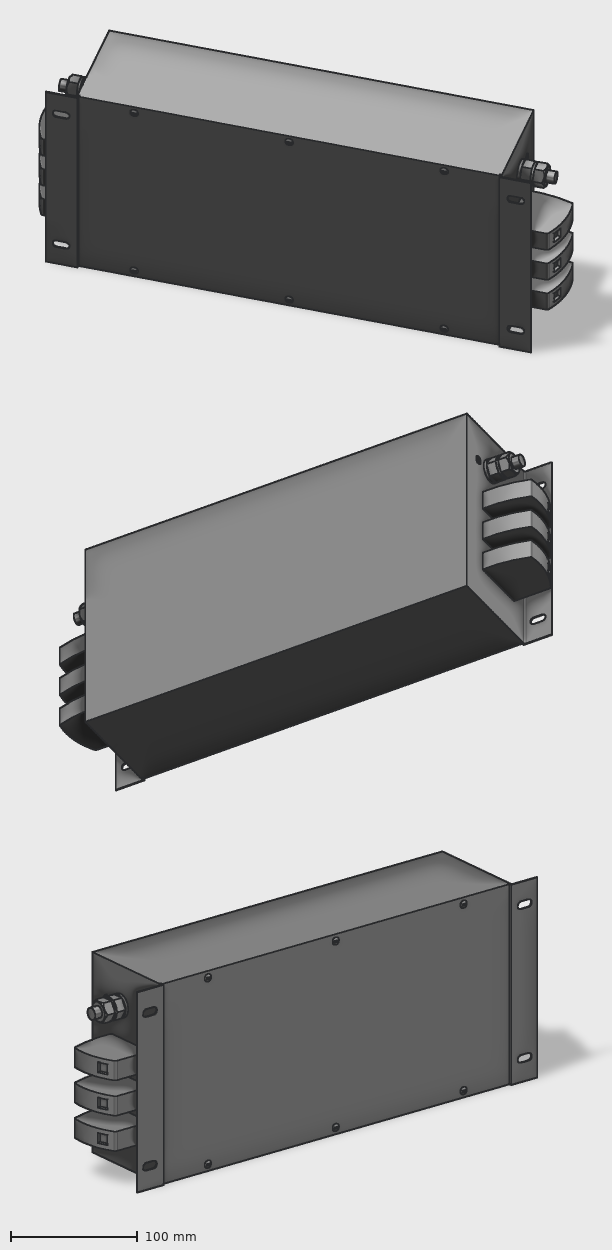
import cadquery as cq
import math

overall_length = 434.5
overall_depth = 90.0
overall_height = 170.0

box_length = 350.0
sheet = 1.1
cover_front = 2.0
cover_thickness = 1.7
cover_end_gap = 0.65

bend_radius = 1.5
flange_span = 400.0
slot_spacing_x = 374.5
slot_spacing_z = 130.5
slot_length = 14.0
slot_width = 6.5

screw_columns = 3
screw_rows = 2
screw_pitch_x = 127.8
screw_spacing_z = 158.0
screw_diameter = 6.5
screw_head = 1.5
screw_slot_width = 1.5
screw_slot_depth = 0.5

terminal_thickness = 16.5
terminal_count = 3
terminal_top_level = 15.0
terminal_pitch = 30.0
terminal_front = 17.0
terminal_back = 65.5
terminal_apex_y = 48.5
nose_radius = 61.5
back_radius = 107.0
back_crest_offset = 6.5
back_corner_y = 60.0
back_corner_radius = 1.0
front_corner_radius = 2.5
window_size = 8.5
window_y = 27.5
window_depth = 3.5

gland_y = 54.0
gland_z = 51.0
washer_diameter = 20.0
washer_length = 2.5
hex_sides = 6
hex_corners = 20.0
inner_hex_length = 8.3
collar_diameter = 19.0
collar_length = 2.0
outer_hex_length = 9.0
hex_chamfer = 1.7
stem_diameter = 10.0
stem_length = 7.0
earth_y = 71.5
earth_diameter = 7.0
earth_recess = 1.5
earth_hole_diameter = 3.5
earth_hole_depth = 4.5

box_end = box_length / 2
box_front = cover_front + cover_thickness


def block(x_range, y_range, z_range):
    """Axis-aligned block given by its limits along each axis."""
    sizes = [high - low for low, high in (x_range, y_range, z_range)]
    corner = (x_range[0], y_range[0], z_range[0])
    return cq.Workplane("XY").box(*sizes, centered=False).translate(corner)


def end_plane(x, y, z):
    """Sketch plane facing +X, with its local x along +Y and local y along +Z."""
    return cq.Workplane(cq.Plane(origin=(x, y, z), xDir=(0, 1, 0), normal=(1, 0, 0)))


def front_plane(y):
    """Sketch plane facing -Y, with its local axes along +X and +Z."""
    return cq.Workplane(cq.Plane(origin=(0, y, 0), xDir=(1, 0, 0), normal=(0, -1, 0)))


def enclosure():
    half_height = overall_height / 2
    body = block((-box_end, box_end), (box_front, overall_depth), (-half_height, half_height))
    cover_end = box_end - sheet - cover_end_gap
    cover = block((-cover_end, cover_end), (cover_front, box_front), (-half_height, half_height))
    return body.union(cover)


def flange():
    """Bent sheet at the +X end: a lip on the end wall turned outwards at the front."""
    z_range = (-overall_height / 2, overall_height / 2)
    lip = block((box_end - sheet, box_end), (0, box_front), z_range)
    plate = block((box_end - sheet, flange_span / 2), (0, sheet), z_range)
    slots = (
        front_plane(0)
        .rarray(slot_spacing_x, slot_spacing_z, 2, 2)
        .slot2D(slot_length, slot_width)
        .extrude(-sheet)
    )
    bent_sheet = (
        lip.union(plate)
        .edges(cq.selectors.NearestToPointSelector((box_end, sheet, 0)))
        .fillet(bend_radius)
    )
    return bent_sheet.cut(slots)


def cover_screws():
    """Domed, slotted screw heads in two rows along the cover."""
    dome_radius = ((screw_diameter / 2) ** 2 + screw_head**2) / (2 * screw_head)
    heads = (
        front_plane(cover_front - screw_head + dome_radius)
        .rarray(screw_pitch_x, screw_spacing_z, screw_columns, screw_rows)
        .sphere(dome_radius)
    )
    slots = (
        front_plane(cover_front - screw_head)
        .rarray(screw_pitch_x, screw_spacing_z, screw_columns, screw_rows)
        .rect(screw_diameter, screw_slot_width)
        .extrude(-screw_slot_depth)
    )
    return heads.cut(slots)


def nose_x(y):
    """X of the rounded terminal nose at a given Y."""
    return overall_length / 2 - nose_radius + math.sqrt(nose_radius**2 - (y - terminal_apex_y) ** 2)


def back_y(x):
    """Y of the arched terminal back at a given X."""
    crest_x = box_end + back_crest_offset
    return terminal_back - back_radius + math.sqrt(back_radius**2 - (x - crest_x) ** 2)


def terminal(level):
    """Terminal block at the +X end: arched back, rounded nose and a square window."""
    front_corner_x = nose_x(terminal_front)
    back_corner_x = nose_x(back_corner_y)
    arch_middle_x = (box_end + back_corner_x) / 2
    body = (
        cq.Workplane("XY")
        .moveTo(box_end, terminal_front)
        .lineTo(front_corner_x, terminal_front)
        .threePointArc((overall_length / 2, terminal_apex_y), (back_corner_x, back_corner_y))
        .threePointArc((arch_middle_x, back_y(arch_middle_x)), (box_end, back_y(box_end)))
        .close()
        .extrude(terminal_thickness / 2, both=True)
        .edges(cq.selectors.NearestToPointSelector((front_corner_x, terminal_front, 0)))
        .fillet(front_corner_radius)
        .edges(cq.selectors.NearestToPointSelector((back_corner_x, back_corner_y, 0)))
        .fillet(back_corner_radius)
    )
    window_x = nose_x(window_y)
    nose_angle = math.degrees(math.asin((window_y - terminal_apex_y) / nose_radius))
    window = (
        cq.Workplane("XY")
        .box(2 * window_depth, window_size, window_size)
        .rotate((0, 0, 0), (0, 0, 1), nose_angle)
        .translate((window_x, window_y, 0))
    )
    return body.cut(window).translate((0, 0, level))


def gland():
    """Cable gland at the +X end, stacked outwards from the wall."""
    x = box_end
    washer = end_plane(x, gland_y, gland_z).circle(washer_diameter / 2).extrude(washer_length)
    x += washer_length
    inner_hex = end_plane(x, gland_y, gland_z).polygon(hex_sides, hex_corners).extrude(inner_hex_length)
    x += inner_hex_length
    collar = end_plane(x, gland_y, gland_z).circle(collar_diameter / 2).extrude(collar_length)
    x += collar_length
    outer_hex = end_plane(x, gland_y, gland_z).polygon(hex_sides, hex_corners).extrude(outer_hex_length)
    turned_blank = (
        end_plane(x, gland_y, gland_z)
        .circle(hex_corners / 2)
        .extrude(outer_hex_length)
        .faces(">X")
        .chamfer(hex_chamfer)
    )
    outer_hex = outer_hex.intersect(turned_blank)
    x += outer_hex_length
    stem = end_plane(x, gland_y, gland_z).circle(stem_diameter / 2).extrude(stem_length)
    return washer.union(inner_hex).union(collar).union(outer_hex).union(stem)


def earth_hole():
    """Stepped blind hole in the +X end wall."""
    start = end_plane(box_end, earth_y, gland_z)
    recess = start.circle(earth_diameter / 2).extrude(-earth_recess)
    hole = start.circle(earth_hole_diameter / 2).extrude(-earth_hole_depth)
    return recess.union(hole)


def both_ends(feature):
    """The feature together with its mirror image at the -X end."""
    return feature.union(feature.mirror("YZ"))


result = enclosure().union(both_ends(flange())).union(cover_screws()).union(both_ends(gland()))
for index in range(terminal_count):
    level = terminal_top_level - index * terminal_pitch
    result = result.union(both_ends(terminal(level)))
result = result.cut(both_ends(earth_hole()))